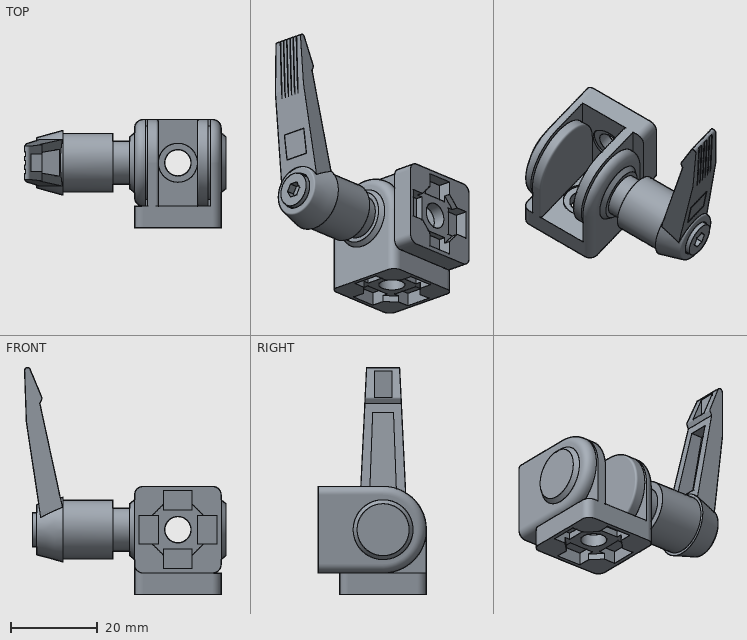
import cadquery as cq
import math


hinge_size = 20.0
half_size = hinge_size / 2
plate_thickness = 5.0
outer_round = 2.0
outer_arm_thickness = 2.5
inner_arm_thickness = 2.5
inner_arm_round = 0.5
bolt_hole_diameter = 6.0
counterbore_diameter = 9.0
counterbore_depth = 0.5
octagon_across_flats = 13.0
octagon_depth = 1.5
pocket_width = 6.6
pocket_length = 4.5
pocket_center_radius = 6.75
pocket_depth = 3.1

washer_thickness = 0.5
washer_radius = 8.5
disc_radius = 6.9
disc_face_radius = 6.0
disc_height = 1.1

collar_radius = 5.0
collar_length = 3.9
sleeve_radius = 6.8
sleeve_length = 11.45
screw_radius = 3.95
screw_protrusion = 0.95
screw_seat_radius = 4.2
screw_seat_depth = 2.0
socket_across_flats = 3.25
socket_depth = 2.0

hub_length = 6.15
hub_back_radius = 7.5
hub_front_radius = 5.8
hub_round = 0.4

collar_start = -half_size - disc_height
sleeve_start = collar_start - collar_length
hub_back = sleeve_start - sleeve_length
hub_front = hub_back - hub_length

tip_z = 37.4
tip_back_x = -35.4
tip_front_x = -34.23
back_kink = (-34.96, 24.8)
back_root = (-31.8, 3.9)
bump_peak = (-31.27, 30.3)
bump_root = (-31.8, 29.1)
front_root = (-26.55, 4.9)
tip_back_round = 0.75
tip_front_round = 0.63
bump_round = 0.5

lever_lean = 10.9
lever_root_width = 10.8
lever_tip_width = 7.5
lever_taper_length = 35.0

groove_count = 3
groove_pitch = 2.0
groove_width = 1.0
groove_depth = 0.2
groove_bottom_z = 23.0
cut_margin = 1.0
label_width = 6.05
label_bottom_z = 8.55
label_top_z = 14.5
label_depth = 0.1
thumb_recess_width = 4.0
thumb_recess_back_x = -33.9
thumb_recess_bottom_z = 30.5
hollow_wall = 1.0
hollow_bottom_z = 8.2
hollow_top_z = 27.0
hollow_bottom_width = 6.2
hollow_top_width = 4.8


def axial_cylinder(radius, start, length):
    """Cylinder on the hinge axis that runs towards +X from start."""
    return cq.Workplane("YZ", origin=(start, 0, 0)).circle(radius).extrude(length)


def arm(start, thickness, bottom):
    """Round-ended arm that stands on the level z = bottom."""
    return (
        cq.Workplane("YZ", origin=(start, 0, 0))
        .moveTo(-half_size, bottom)
        .lineTo(half_size, bottom)
        .lineTo(half_size, 0)
        .threePointArc((0, half_size), (-half_size, 0))
        .close()
        .extrude(thickness)
    )


def hinge_half():
    """Plate below the axis, outer arm at -X and inner arm at +X."""
    plate_bottom = -half_size - plate_thickness
    plate = (
        cq.Workplane("XY", origin=(0, 0, plate_bottom))
        .rect(hinge_size, hinge_size)
        .extrude(plate_thickness)
        .edges("|Z")
        .fillet(outer_round)
    )
    outer_arm = arm(-half_size, outer_arm_thickness, plate_bottom)
    outer_arm = outer_arm.faces("<X").edges("not <Z").fillet(outer_round)
    inner_arm_start = half_size - outer_arm_thickness - washer_thickness - inner_arm_thickness
    inner_arm = arm(inner_arm_start, inner_arm_thickness, -half_size)
    inner_arm = inner_arm.faces("<X").edges("not <Z").fillet(inner_arm_round)
    half = plate.union(outer_arm).union(inner_arm)

    underside = cq.Workplane("XY", origin=(0, 0, plate_bottom))
    bolt_hole = underside.circle(bolt_hole_diameter / 2).extrude(plate_thickness)
    counterbore = (
        cq.Workplane("XY", origin=(0, 0, -half_size))
        .circle(counterbore_diameter / 2)
        .extrude(-counterbore_depth)
    )
    octagon_diameter = octagon_across_flats / math.cos(math.pi / 8)
    octagon = (
        underside.transformed(rotate=(0, 0, 180 / 8)).polygon(8, octagon_diameter).extrude(octagon_depth)
    )
    half = half.cut(bolt_hole).cut(counterbore).cut(octagon)
    for quarter in range(4):
        pocket = (
            underside.center(pocket_center_radius, 0)
            .rect(pocket_length, pocket_width)
            .extrude(pocket_depth)
            .rotate((0, 0, 0), (0, 0, 1), 90 * quarter)
        )
        half = half.cut(pocket)
    return half


def end_disc(side):
    """Chamfered disc on the outer arm at the -X (side = -1) or +X (side = 1) end."""
    arm_face = side * half_size
    return (
        cq.Workplane("XY")
        .moveTo(arm_face, 0)
        .lineTo(arm_face, disc_radius)
        .lineTo(arm_face + side * disc_height, disc_face_radius)
        .lineTo(arm_face + side * disc_height, 0)
        .close()
        .revolve(360, (0, 0, 0), (1, 0, 0))
    )


def washer(start):
    """Spacer between an outer arm and the inner arm beside it."""
    return axial_cylinder(washer_radius, start, washer_thickness)


def retaining_screw():
    """Screw head with a hexagon socket."""
    screw_front = hub_front - screw_protrusion
    head = axial_cylinder(screw_radius, screw_front, screw_protrusion + screw_seat_depth)
    socket_diameter = socket_across_flats / math.cos(math.pi / 6)
    socket = cq.Workplane("YZ", origin=(screw_front, 0, 0)).polygon(6, socket_diameter).extrude(socket_depth)
    return head.cut(socket)


def handle_hub():
    """Cone that widens towards the sleeve, rounded at its small end."""
    cone = (
        cq.Workplane("XY")
        .moveTo(hub_back, 0)
        .lineTo(hub_back, hub_back_radius)
        .lineTo(hub_front, hub_front_radius)
        .lineTo(hub_front, 0)
        .close()
        .revolve(360, (0, 0, 0), (1, 0, 0))
    )
    return cone.faces("<X").edges().fillet(hub_round)


def back_x(z):
    """X of the lever's back face, below the kink, at height z."""
    run = (z - back_kink[1]) / (back_root[1] - back_kink[1])
    return back_kink[0] + run * (back_root[0] - back_kink[0])


def tip_back_face_x(z):
    """X of the plane of the lever's back face above the kink, at height z."""
    run = (z - back_kink[1]) / (tip_z - back_kink[1])
    return back_kink[0] + run * (tip_back_x - back_kink[0])


def side_block(points, width):
    """Extrude an XZ outline to a width centred on the XZ plane."""
    return cq.Workplane("XZ").polyline(points).close().extrude(width / 2, both=True)


def lever_blank():
    """Lever outline with its sides tapered towards the tip."""
    blank = side_block(
        [
            (back_x(0), 0),
            back_root,
            back_kink,
            (tip_back_x, tip_z),
            (tip_front_x, tip_z),
            bump_peak,
            bump_root,
            front_root,
            (hub_back, 0),
        ],
        2 * lever_root_width,
    )
    rounds = [
        ((tip_back_x, tip_z), tip_back_round),
        ((tip_front_x, tip_z), tip_front_round),
        (bump_peak, bump_round),
    ]
    for (x, z), radius in rounds:
        corner = cq.selectors.NearestToPointSelector((x, 0, z))
        blank = blank.edges("|Y").edges(corner).fillet(radius)

    root = lever_root_width / 2
    tip = lever_tip_width / 2
    taper = (
        cq.Workplane("YZ")
        .polyline(
            [
                (-root, -hub_back_radius),
                (-root, 0),
                (-tip, lever_taper_length),
                (tip, lever_taper_length),
                (root, 0),
                (root, -hub_back_radius),
            ]
        )
        .close()
        .extrude(hinge_size, both=True)
        .rotate((0, 0, 0), (0, 1, 0), -lever_lean)
        .translate((back_root[0], 0, back_root[1]))
    )
    return blank.intersect(taper)


def grip_groove(y):
    """Shallow groove with its floor parallel to the back face above the kink."""
    groove = side_block(
        [
            (tip_back_x - cut_margin, groove_bottom_z),
            (tip_back_face_x(groove_bottom_z) + groove_depth, groove_bottom_z),
            (tip_back_x + groove_depth, tip_z),
            (tip_back_x - cut_margin, tip_z),
        ],
        groove_width,
    )
    return groove.translate((0, y, 0))


def label_recess():
    """Shallow rectangular recess in the lower back face."""
    return side_block(
        [
            (back_x(label_bottom_z) - label_depth, label_bottom_z),
            (back_x(label_bottom_z) + label_depth, label_bottom_z),
            (back_x(label_top_z) + label_depth, label_top_z),
            (back_x(label_top_z) - label_depth, label_top_z),
        ],
        label_width,
    )


def thumb_recess():
    """Flat-bottomed recess in the sloping thumb face."""
    return side_block(
        [
            (thumb_recess_back_x, thumb_recess_bottom_z),
            (bump_peak[0], thumb_recess_bottom_z),
            (bump_peak[0], tip_z),
            (thumb_recess_back_x, tip_z),
        ],
        thumb_recess_width,
    )


def front_hollow():
    """Hollow in the front face that leaves a wall at the back and narrows upwards."""
    depth_block = side_block(
        [
            (back_x(hollow_bottom_z) + hollow_wall, hollow_bottom_z),
            (hub_back, hollow_bottom_z),
            (hub_back, hollow_top_z),
            (back_x(hollow_top_z) + hollow_wall, hollow_top_z),
        ],
        lever_root_width,
    )
    bottom = hollow_bottom_width / 2
    top = hollow_top_width / 2
    width_block = (
        cq.Workplane("YZ", origin=(tip_back_x, 0, 0))
        .polyline(
            [
                (-bottom, hollow_bottom_z),
                (bottom, hollow_bottom_z),
                (top, hollow_top_z),
                (-top, hollow_top_z),
            ]
        )
        .close()
        .extrude(hub_back - tip_back_x)
    )
    return depth_block.intersect(width_block)


def clamping_handle():
    """Hub and lever in one piece, with a seat for the retaining screw."""
    lever = lever_blank().cut(label_recess()).cut(thumb_recess()).cut(front_hollow())
    for index in range(groove_count):
        lever = lever.cut(grip_groove((index - (groove_count - 1) / 2) * groove_pitch))
    screw_seat = axial_cylinder(screw_seat_radius, hub_front, screw_seat_depth)
    return handle_hub().union(lever).cut(screw_seat)


lower_hinge = hinge_half()
side_hinge = hinge_half().rotate((0, 0, 0), (0, 1, 1), 180)

washer_offset = half_size - outer_arm_thickness
washers = [washer(start) for start in (-washer_offset, washer_offset - washer_thickness)]
end_discs = [end_disc(side) for side in (-1, 1)]
collar = axial_cylinder(collar_radius, sleeve_start, collar_length)
sleeve = axial_cylinder(sleeve_radius, hub_back, sleeve_length)
handle = clamping_handle()
screw = retaining_screw()

result = cq.Compound.makeCompound(
    [
        lower_hinge.val(),
        side_hinge.val(),
        *[body.val() for body in washers],
        *[body.val() for body in end_discs],
        collar.val(),
        sleeve.val(),
        handle.val(),
        screw.val(),
    ]
)